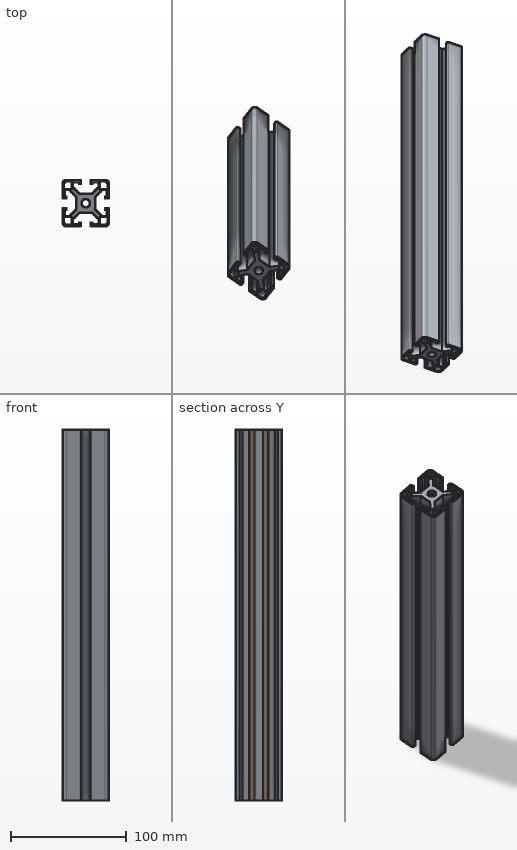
import cadquery as cq
import math

LENGTH = 320.0
SIDE = 40.0
CORNER_RADIUS = 3.3

SLOT_OPENING = 8.2
LIP_EDGE_RADIUS = 1.0
FLANGE_THICKNESS = 2.2
LIP_WIDTH = 1.75
LIP_DEPTH = 3.3

CORE_SIDE = 16.6
BORE_DIAMETER = 7.0
WEB_THICKNESS = 4.0

TUBE_WALL = 1.4
TUBE_INNER_WALL = 0.9
TUBE_HOLLOW_RADIUS = 2.0
CHAMBER_REACH = 11.2

HALF = SIDE / 2
HALF_OPENING = SLOT_OPENING / 2
HALF_CORE = CORE_SIDE / 2
WEB_OFFSET = WEB_THICKNESS / math.sqrt(2)


def make_blank():
    """Square bar with rounded long edges."""
    return cq.Workplane("XY").rect(SIDE, SIDE).extrude(LENGTH).edges("|Z").fillet(CORNER_RADIUS)


def make_slot():
    """Solid filling the T-slot that opens towards +Y."""
    flange_inside = HALF - FLANGE_THICKNESS
    lip_tip = HALF - LIP_DEPTH
    lip_back = HALF_OPENING + LIP_WIDTH
    round_middle = LIP_EDGE_RADIUS * (1 - math.sqrt(0.5))
    right_side = [
        (HALF_OPENING, lip_tip),
        (lip_back, lip_tip),
        (lip_back, flange_inside),
        (CHAMBER_REACH, flange_inside),
        (CHAMBER_REACH, CHAMBER_REACH + WEB_OFFSET),
        (HALF_CORE - WEB_OFFSET, HALF_CORE),
    ]
    left_side = [(-x, y) for x, y in reversed(right_side)]
    edge_start = HALF_OPENING + LIP_EDGE_RADIUS
    edge_end = HALF - LIP_EDGE_RADIUS
    edge_middle = (HALF_OPENING + round_middle, HALF - round_middle)
    return (
        cq.Workplane("XY")
        .moveTo(-edge_start, HALF)
        .lineTo(edge_start, HALF)
        .threePointArc(edge_middle, (HALF_OPENING, edge_end))
        .polyline(right_side + left_side, includeCurrent=True)
        .lineTo(-HALF_OPENING, edge_end)
        .threePointArc((-edge_middle[0], edge_middle[1]), (-edge_start, HALF))
        .close()
        .extrude(LENGTH)
    )


def make_tube_hollow():
    """Solid filling the hollow of the +X +Y corner tube."""
    near = CHAMBER_REACH + TUBE_INNER_WALL
    far = HALF - TUBE_WALL
    size = far - near
    return (
        cq.Workplane("XY")
        .rect(size, size)
        .extrude(LENGTH)
        .edges("|Z and >X and >Y")
        .fillet(TUBE_HOLLOW_RADIUS)
        .translate(((near + far) / 2, (near + far) / 2, 0))
    )


def make_bore():
    """Central bore, full length."""
    return cq.Workplane("XY").circle(BORE_DIAMETER / 2).extrude(LENGTH)


result = make_blank().cut(make_bore())
for quarter_turn in range(4):
    angle = 90 * quarter_turn
    result = result.cut(make_slot().rotate((0, 0, 0), (0, 0, 1), angle))
    result = result.cut(make_tube_hollow().rotate((0, 0, 0), (0, 0, 1), angle))